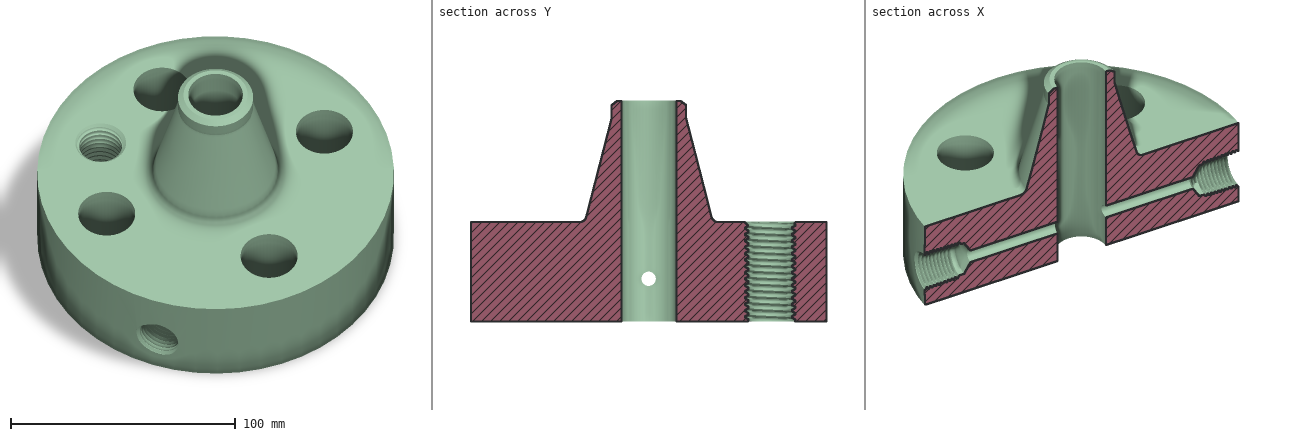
import cadquery as cq
import math

FLANGE_DIAMETER = 158.75
FLANGE_THICKNESS = 44.45
TOTAL_HEIGHT = 98.3

NECK_BASE_DIAMETER = 57.15
NECK_END_DIAMETER = 33.5
LAND_LENGTH = 8.0
BEVEL_WIDTH = 2.5
BEVEL_ANGLE = 37.5
NECK_FILLET_RADIUS = 3.0
BORE_DIAMETER = 24.3

BOLT_CIRCLE_DIAMETER = 107.95
BOLT_HOLE_DIAMETER = 25.4
BOLT_ANGLES = (45, 135, 225, 315)
JACK_SCREW_ANGLE = 180

JACK_MAJOR_DIAMETER = 22.225
JACK_MINOR_DIAMETER = 19.2
JACK_PITCH = 25.4 / 9
JACK_MOUTH_DIAMETER = 22.6
JACK_THREAD_START_ANGLE = 263

PORT_HEIGHT = 19.05
PORT_ANGLES = (0, 180)
PORT_DEPTH = 20.0
PORT_MAJOR_DIAMETER = 20.9
PORT_MINOR_DIAMETER = 18.3
PORT_PITCH = 25.4 / 14
PORT_THREAD_START_ANGLE = 315
PORT_HALF_TAPER = math.degrees(math.atan(1 / 32))
PORT_DRILL_POINT_ANGLE = 118
PORT_PASSAGE_DIAMETER = 6.35

THREAD_FLANK_ANGLE = 30
ROOT_FLAT_RATIO = 1 / 8
STRAIGHT = 360
CORE_OVERLAP = 0.1

FLANGE_RADIUS = FLANGE_DIAMETER / 2


def flange_and_neck():
    """Disc with the weld neck on top, turned about Z, with the fillet at its foot."""
    base_radius = NECK_BASE_DIAMETER / 2
    end_radius = NECK_END_DIAMETER / 2
    bevel_height = BEVEL_WIDTH * math.tan(math.radians(BEVEL_ANGLE))
    outline = (
        cq.Workplane("XZ")
        .moveTo(0, 0)
        .lineTo(FLANGE_RADIUS, 0)
        .lineTo(FLANGE_RADIUS, FLANGE_THICKNESS)
        .lineTo(base_radius, FLANGE_THICKNESS)
        .lineTo(end_radius, TOTAL_HEIGHT - LAND_LENGTH)
        .lineTo(end_radius, TOTAL_HEIGHT - bevel_height)
        .lineTo(end_radius - BEVEL_WIDTH, TOTAL_HEIGHT)
        .lineTo(0, TOTAL_HEIGHT)
        .close()
    )
    body = outline.revolve(360, (0, 0, 0), (0, 1, 0))
    second_largest_circle = cq.selectors.RadiusNthSelector(-2)
    neck_foot = body.edges("%CIRCLE").edges(second_largest_circle)
    return neck_foot.fillet(NECK_FILLET_RADIUS)


def vertical_hole(diameter, radial_distance=0, angle=0):
    """Cylinder through the whole part, parallel to Z."""
    x = radial_distance * math.cos(math.radians(angle))
    y = radial_distance * math.sin(math.radians(angle))
    return cq.Workplane("XY").center(x, y).circle(diameter / 2).extrude(TOTAL_HEIGHT)


def thread_groove(minor_radius, major_radius, pitch, length, half_taper=STRAIGHT):
    """Helical groove cutter about Z from z = 0 up; radii are at z = 0 and grow with the taper."""
    root_half_width = pitch * ROOT_FLAT_RATIO / 2
    inner_radius = minor_radius - CORE_OVERLAP
    depth = major_radius - inner_radius
    inner_half_width = root_half_width + depth * math.tan(math.radians(THREAD_FLANK_ANGLE))
    profile = [
        (inner_radius, -inner_half_width),
        (major_radius, -root_half_width),
        (major_radius, root_half_width),
        (inner_radius, inner_half_width),
    ]
    helices = [
        cq.Wire.makeHelix(pitch, length, radius, angle=half_taper).translate(cq.Vector(0, 0, z))
        for radius, z in profile
    ]
    faces = []
    for helix, next_helix in zip(helices, helices[1:] + helices[:1]):
        faces.extend(cq.Face.makeRuledSurface(helix, next_helix).Faces())
    for end in (0, 1):
        corners = [helix.positionAt(end) for helix in helices]
        faces.append(cq.Face.makeFromWires(cq.Wire.makePolygon(corners, close=True)))
    return cq.Workplane(obj=cq.Solid.makeSolid(cq.Shell.makeShell(faces)))


def cut_jack_screw_hole(body):
    """Threaded and countersunk hole through the disc on the bolt circle."""
    minor_radius = JACK_MINOR_DIAMETER / 2
    mouth_radius = JACK_MOUTH_DIAMETER / 2
    countersink_depth = mouth_radius - minor_radius
    core = (
        cq.Workplane("XZ")
        .lineTo(minor_radius, 0)
        .lineTo(minor_radius, FLANGE_THICKNESS - countersink_depth)
        .lineTo(mouth_radius, FLANGE_THICKNESS)
        .lineTo(0, FLANGE_THICKNESS)
        .close()
        .revolve(360, (0, 0, 0), (0, 1, 0))
    )
    disc_slice = cq.Workplane("XY").circle(JACK_MAJOR_DIAMETER).extrude(FLANGE_THICKNESS)
    groove = (
        thread_groove(minor_radius, JACK_MAJOR_DIAMETER / 2, JACK_PITCH, FLANGE_THICKNESS + 2 * JACK_PITCH)
        .translate((0, 0, -JACK_PITCH))
        .rotate((0, 0, 0), (0, 0, 1), JACK_THREAD_START_ANGLE)
        .intersect(disc_slice)
    )
    for cutter in (core, groove):
        at_hole = cutter.translate((BOLT_CIRCLE_DIAMETER / 2, 0, 0))
        body = body.cut(at_hole.rotate((0, 0, 0), (0, 0, 1), JACK_SCREW_ANGLE))
    return body


def place_port(cutter, angle):
    """Move a cutter built along Z, its z = 0 at the port's inner end, to point out of the disc."""
    outward = cutter.rotate((0, 0, 0), (1, 0, 0), 90)
    at_port = outward.translate((0, PORT_DEPTH - FLANGE_RADIUS, PORT_HEIGHT))
    return at_port.rotate((0, 0, 0), (0, 0, 1), angle)


def cut_port(body, angle):
    """Tapered threaded port with a drill point at its inner end."""
    taper_slope = math.tan(math.radians(PORT_HALF_TAPER))
    narrowing = PORT_DEPTH * taper_slope
    inner_minor_radius = PORT_MINOR_DIAMETER / 2 - narrowing
    inner_major_radius = PORT_MAJOR_DIAMETER / 2 - narrowing
    outer_end = PORT_DEPTH + 2 * PORT_PITCH
    outer_minor_radius = inner_minor_radius + outer_end * taper_slope
    point_depth = inner_minor_radius / math.tan(math.radians(PORT_DRILL_POINT_ANGLE / 2))
    core = (
        cq.Workplane("XZ")
        .moveTo(0, -point_depth)
        .lineTo(inner_minor_radius, 0)
        .lineTo(outer_minor_radius, outer_end)
        .lineTo(0, outer_end)
        .close()
        .revolve(360, (0, 0, 0), (0, 1, 0))
    )
    groove = (
        thread_groove(
            inner_minor_radius, inner_major_radius, PORT_PITCH, outer_end - PORT_PITCH, PORT_HALF_TAPER
        )
        .translate((0, 0, PORT_PITCH))
        .rotate((0, 0, 0), (0, 0, 1), PORT_THREAD_START_ANGLE)
    )
    disc = cq.Workplane("XY").circle(FLANGE_RADIUS).extrude(FLANGE_THICKNESS)
    trimmed_groove = place_port(groove, angle).intersect(disc)
    return body.cut(place_port(core, angle)).cut(trimmed_groove)


result = flange_and_neck().cut(vertical_hole(BORE_DIAMETER))

for bolt_angle in BOLT_ANGLES:
    result = result.cut(vertical_hole(BOLT_HOLE_DIAMETER, BOLT_CIRCLE_DIAMETER / 2, bolt_angle))

passage = (
    cq.Workplane("XZ", origin=(0, FLANGE_RADIUS, PORT_HEIGHT))
    .circle(PORT_PASSAGE_DIAMETER / 2)
    .extrude(FLANGE_DIAMETER)
)
result = result.cut(passage)

for port_angle in PORT_ANGLES:
    result = cut_port(result, port_angle)

result = cut_jack_screw_hole(result)